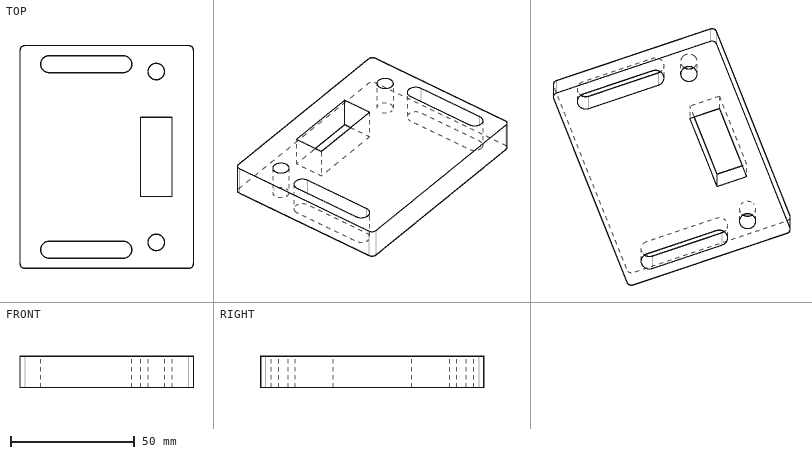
import cadquery as cq

width = 70.0
length = 90.0
thickness = 12.7
corner_radius = 2.0

slot_length = 36.7
slot_width = 6.75
slot_center_x = -8.3
slot_offset_y = 37.4

window_width = 12.7
window_length = 31.9
window_center_x = 20.0
hole_diameter = 6.6
hole_offset_y = 34.5


def mirrored_points(x, y):
    """Two points placed symmetrically about the X axis."""
    return [(x, -y), (x, y)]


plate = (
    cq.Workplane("XY")
    .rect(width, length)
    .extrude(thickness)
    .edges("|Z")
    .fillet(corner_radius)
)

slots = (
    cq.Workplane("XY")
    .pushPoints(mirrored_points(slot_center_x, slot_offset_y))
    .slot2D(slot_length, slot_width)
    .extrude(thickness)
)

window = (
    cq.Workplane("XY")
    .center(window_center_x, 0)
    .rect(window_width, window_length)
    .extrude(thickness)
)

holes = (
    cq.Workplane("XY")
    .pushPoints(mirrored_points(window_center_x, hole_offset_y))
    .circle(hole_diameter / 2)
    .extrude(thickness)
)

result = plate.cut(slots).cut(window).cut(holes)